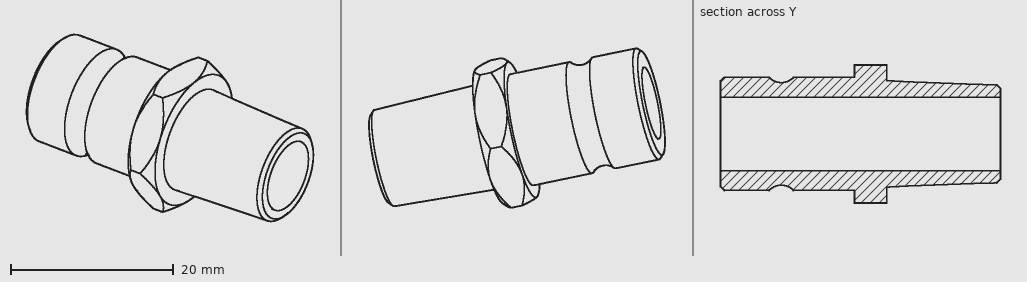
import cadquery as cq
import math


total_length = 34.5
plug_length = 16.5
hex_width = 4.0
taper_start = plug_length + hex_width

bore_diameter = 9.0
plug_radius = 7.0
bore_radius = bore_diameter / 2
taper_base_radius = 6.6
taper_tip_radius = 6.07

across_flats = 17.0
hex_sides = 6
across_corners = across_flats / math.cos(math.pi / hex_sides)

end_chamfer = 0.5

groove_start = 6.0
groove_end = 9.0
groove_depth = 0.65
groove_middle = (groove_start + groove_end) / 2


def make_turned_body():
    """Plug and tapered spigot, turned as one profile about the X axis."""
    profile = (
        cq.Workplane("XY")
        .lineTo(0, plug_radius - end_chamfer)
        .lineTo(end_chamfer, plug_radius)
        .lineTo(groove_start, plug_radius)
        .threePointArc((groove_middle, plug_radius - groove_depth), (groove_end, plug_radius))
        .lineTo(taper_start, plug_radius)
        .lineTo(taper_start, taper_base_radius)
        .lineTo(total_length - end_chamfer, taper_tip_radius)
        .lineTo(total_length, taper_tip_radius - end_chamfer)
        .lineTo(total_length, 0)
        .close()
    )
    return profile.revolve(360, (0, 0, 0), (1, 0, 0))


def make_hex_collar():
    """Hexagon with corners on the Y axis, its corners turned off at 45 degrees on both faces."""
    collar_plane = cq.Workplane("YZ", origin=(plug_length, 0, 0))
    hexagon = collar_plane.polygon(hex_sides, across_corners).extrude(hex_width)
    face_radius = across_flats / 2
    middle_radius = face_radius + hex_width / 2
    turning_limit = (
        cq.Workplane("XY")
        .moveTo(plug_length, 0)
        .lineTo(plug_length, face_radius)
        .lineTo(plug_length + hex_width / 2, middle_radius)
        .lineTo(taper_start, face_radius)
        .lineTo(taper_start, 0)
        .close()
        .revolve(360, (0, 0, 0), (1, 0, 0))
    )
    return hexagon.intersect(turning_limit)


bore = cq.Workplane("YZ").circle(bore_radius).extrude(total_length)

result = make_turned_body().union(make_hex_collar()).cut(bore)